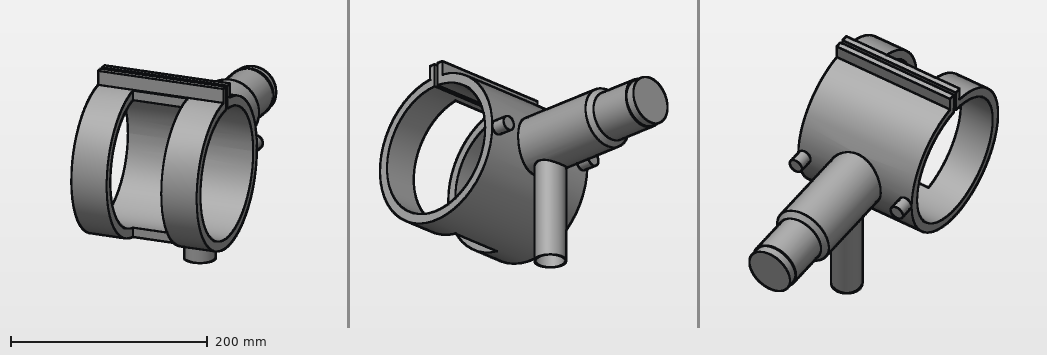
import cadquery as cq

TOTAL_LENGTH = 317.8

RING_WIDTH = 138.0
RING_OUTER_RADIUS = 80.0
RING_INNER_RADIUS = 70.0
LUG_TOP = 94.7
LUG_THICKNESS = 7.0
LUG_GAP = 3.8
WINDOW_WIDTH = 60.0
WINDOW_EDGE_Y = -10.5
PEG_DIAMETER = 15.0
PEG_OFFSET_X = 61.3
PEG_END_Y = 96.0

BRANCH_END_Y = TOTAL_LENGTH - RING_OUTER_RADIUS
COLLAR_RADIUS = 31.5
SPIGOT_RADIUS = 25.7
TIP_RADIUS = 24.8
TIP_LENGTH = 10.0
SPIGOT_LENGTH = 46.0
TAPER_LENGTH = COLLAR_RADIUS - SPIGOT_RADIUS
COLLAR_END_Y = BRANCH_END_Y - TIP_LENGTH - SPIGOT_LENGTH

OUTLET_Y = 95.0
OUTLET_RADIUS = 16.2
OUTLET_BOTTOM = -133.8
BORE_RADIUS = 15.3
BORE_END_Y = OUTLET_Y + BORE_RADIUS


def cylinder_x(radius, length):
    """Cylinder along X, centred on the origin."""
    return cq.Workplane("YZ").circle(radius).extrude(length / 2, both=True)


def cylinder_y(radius, end_y, x=0.0):
    """Cylinder along +Y from the ring axis plane to end_y."""
    return cq.Workplane("XZ").center(x, 0).circle(radius).extrude(-end_y)


def outlet_cylinder(radius):
    """Vertical cylinder from the branch axis down to the outlet end."""
    return cq.Workplane("XY").center(0, OUTLET_Y).circle(radius).extrude(OUTLET_BOTTOM)


def make_ring_solid():
    """Uncut ring cylinder with the lug block and the two pegs."""
    lugs_depth = 2 * LUG_THICKNESS + LUG_GAP
    lugs = cq.Workplane("XY").box(RING_WIDTH, lugs_depth, LUG_TOP, centered=(True, True, False))
    ring = cylinder_x(RING_OUTER_RADIUS, RING_WIDTH).union(lugs)
    for side in (-1, 1):
        ring = ring.union(cylinder_y(PEG_DIAMETER / 2, PEG_END_Y, side * PEG_OFFSET_X))
    return ring


def make_collar():
    """Branch collar with a 45 degree taper at its free end."""
    return cylinder_y(COLLAR_RADIUS, COLLAR_END_Y).faces(">Y").chamfer(TAPER_LENGTH)


def make_lug_gap():
    """Slot that splits the ring between the lugs."""
    return cq.Workplane("XY").box(RING_WIDTH, LUG_GAP, LUG_TOP, centered=(True, True, False))


def make_window():
    """Block that opens the front of the ring over its full height."""
    depth = RING_OUTER_RADIUS + WINDOW_EDGE_Y
    return (
        cq.Workplane("XY")
        .box(WINDOW_WIDTH, depth, 2 * RING_OUTER_RADIUS)
        .translate((0, WINDOW_EDGE_Y - depth / 2, 0))
    )


def make_clamp():
    """Split ring with its collar and outlet tube, joined by an elbow bore."""
    clamp = make_ring_solid().union(make_collar()).union(outlet_cylinder(OUTLET_RADIUS))
    clamp = clamp.cut(cylinder_x(RING_INNER_RADIUS, RING_WIDTH))
    clamp = clamp.cut(make_lug_gap()).cut(make_window())
    return clamp.cut(cylinder_y(BORE_RADIUS, BORE_END_Y)).cut(outlet_cylinder(BORE_RADIUS))


def make_spigot():
    """Solid spigot with a slightly reduced tip, seated on the end of the collar."""
    return (
        cq.Workplane("XZ", origin=(0, COLLAR_END_Y, 0))
        .circle(SPIGOT_RADIUS)
        .extrude(-SPIGOT_LENGTH)
        .faces(">Y")
        .workplane()
        .circle(TIP_RADIUS)
        .extrude(TIP_LENGTH)
    )


clamp = make_clamp()
spigot = make_spigot()
result = cq.Compound.makeCompound([clamp.val(), spigot.val()])